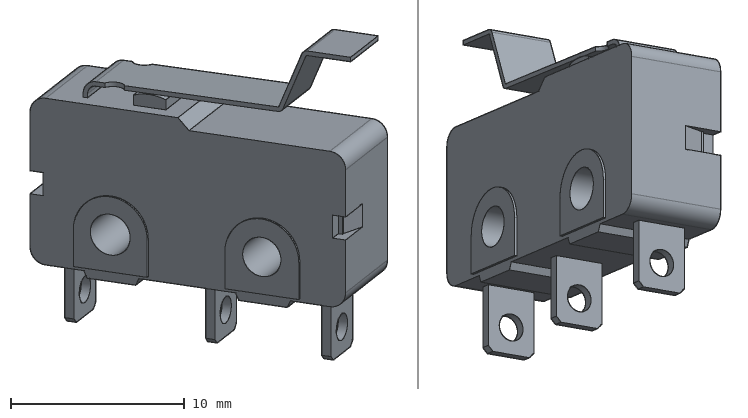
import cadquery as cq
import math


case_length = 19.8
case_thickness = 6.08
case_height = 10.2
low_height = 9.5
step_start = 9.29
step_length = case_height - low_height
corner_radius = 0.99

hole_height = 2.5
left_hole_x = 5.1
hole_pitch = 9.5
right_hole_x = left_hole_x + hole_pitch
left_hole_diameter = 2.5
right_hole_diameter = 2.4
pad_width = 4.63
pad_bottom = 0.22
pad_rise = 0.15
foot_depth = 0.44
foot_top_width = 3.45
foot_bottom_width = 3.05

notch_bottom = 4.22
notch_height = 1.4
notch_depth = 0.81
ramp_depth = 0.55
ramp_back_y = -0.61
ramp_front_y = -2.08
notch_step_y = -2.22

terminal_positions = (1.85, 10.67, 17.95)
terminal_thickness = 0.6
terminal_width = 3.13
terminal_length = 3.95
terminal_chamfer = 0.32
terminal_hole_diameter = 1.6
terminal_hole_depth = 2.32
root_depth = 0.2

plunger_left = 6.08
plunger_right = 8.12
plunger_side_top = 10.81
plunger_top = 10.99
plunger_width = 4.2

lever_thickness = 0.28
lever_width = 4.0
lever_outer_path = (
    (2.9, case_height - root_depth),
    (2.9, 11.25),
    (15.15, 11.35),
    (16.7, 15.03),
    (19.66, 15.03),
)
hook_radius = 0.81
upper_bend_radius = 0.4
lower_bend_radius = 0.34
relief_x = 4.87
relief_depth = 0.38
relief_radius = 0.7


def make_case():
    step_end = step_start + step_length
    profile = (
        cq.Workplane("XZ")
        .polyline([
            (0, 0),
            (case_length, 0),
            (case_length, low_height),
            (step_end, low_height),
            (step_start, case_height),
            (0, case_height),
        ])
        .close()
        .extrude(case_thickness / 2, both=True)
    )
    ends = profile.edges("|Y and (<X or >X)")
    return ends.fillet(corner_radius)


def make_pad(hole_x):
    half = pad_width / 2
    return (
        cq.Workplane("XZ")
        .moveTo(hole_x - half, pad_bottom)
        .lineTo(hole_x + half, pad_bottom)
        .lineTo(hole_x + half, hole_height)
        .threePointArc((hole_x, hole_height + half), (hole_x - half, hole_height))
        .close()
        .extrude(case_thickness / 2 + pad_rise, both=True)
    )


def make_foot(hole_x):
    half_top = foot_top_width / 2
    half_bottom = foot_bottom_width / 2
    return (
        cq.Workplane("XZ")
        .polyline([
            (hole_x - half_top, 0),
            (hole_x - half_bottom, -foot_depth),
            (hole_x + half_bottom, -foot_depth),
            (hole_x + half_top, 0),
        ])
        .close()
        .extrude(case_thickness / 2, both=True)
    )


def make_mounting_hole(hole_x, diameter):
    return (
        cq.Workplane("XZ")
        .center(hole_x, hole_height)
        .circle(diameter / 2)
        .extrude(case_thickness, both=True)
    )


def make_left_notch():
    front_y = -case_thickness / 2
    return (
        cq.Workplane("XY", origin=(0, 0, notch_bottom))
        .polyline([
            (0, ramp_back_y),
            (ramp_depth, ramp_front_y),
            (ramp_depth, notch_step_y),
            (notch_depth, notch_step_y),
            (notch_depth, front_y),
            (0, front_y),
        ])
        .close()
        .extrude(notch_height)
    )


def make_terminal(x):
    length = terminal_length + root_depth
    blade = (
        cq.Workplane("XY")
        .box(terminal_thickness, terminal_width, length, centered=(True, True, False))
        .translate((x, 0, -terminal_length))
        .edges("|X and <Z")
        .chamfer(terminal_chamfer)
    )
    hole = (
        cq.Workplane("YZ")
        .center(0, -terminal_hole_depth)
        .circle(terminal_hole_diameter / 2)
        .extrude(case_length)
    )
    return blade.cut(hole)


def make_plunger():
    middle_x = (plunger_left + plunger_right) / 2
    return (
        cq.Workplane("XZ")
        .moveTo(plunger_left, case_height - root_depth)
        .lineTo(plunger_left, plunger_side_top)
        .threePointArc((middle_x, plunger_top), (plunger_right, plunger_side_top))
        .lineTo(plunger_right, case_height - root_depth)
        .close()
        .extrude(plunger_width / 2, both=True)
    )


def offset_path(points, distance):
    """Shift an open path to its right by a distance, with mitred corners."""
    angles = [math.atan2(q[1] - p[1], q[0] - p[0]) for p, q in zip(points, points[1:])]
    before = [angles[0]] + angles
    after = angles + [angles[-1]]
    shifted = []
    for (x, z), start, end in zip(points, before, after):
        middle = (start + end) / 2
        reach = distance / math.cos((end - start) / 2)
        shifted.append((x + reach * math.sin(middle), z - reach * math.cos(middle)))
    return shifted


def make_lever():
    outer = list(lever_outer_path)
    inner = offset_path(outer, lever_thickness)
    strip = (
        cq.Workplane("XZ")
        .polyline(outer + inner[::-1])
        .close()
        .extrude(lever_width / 2, both=True)
    )
    bends = (
        (1, hook_radius, hook_radius - lever_thickness),
        (2, lower_bend_radius - lever_thickness, lower_bend_radius),
        (3, upper_bend_radius, upper_bend_radius - lever_thickness),
    )
    for index, outer_radius, inner_radius in bends:
        for (x, z), radius in ((outer[index], outer_radius), (inner[index], inner_radius)):
            corner = cq.selectors.NearestToPointSelector((x, 0, z))
            strip = strip.edges("|Y").edges(corner).fillet(radius)

    relief_y = lever_width / 2 + relief_radius - relief_depth
    reliefs = (
        cq.Workplane("XY", origin=(0, 0, case_height))
        .pushPoints([(relief_x, relief_y), (relief_x, -relief_y)])
        .circle(relief_radius)
        .extrude(case_height)
    )
    return strip.cut(reliefs)


result = make_case()
for hole_x in (left_hole_x, right_hole_x):
    result = result.union(make_pad(hole_x)).union(make_foot(hole_x))

for hole_x, diameter in ((left_hole_x, left_hole_diameter), (right_hole_x, right_hole_diameter)):
    result = result.cut(make_mounting_hole(hole_x, diameter))

left_notch = make_left_notch()
right_notch = left_notch.mirror("YZ", (case_length / 2, 0, 0))
result = result.cut(left_notch).cut(right_notch)

for terminal_x in terminal_positions:
    result = result.union(make_terminal(terminal_x))

result = result.union(make_plunger()).union(make_lever())